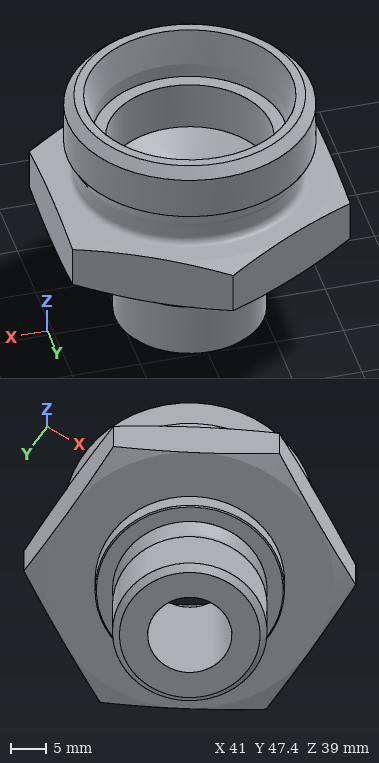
import cadquery as cq
import math

total_height = 39.0
hex_bottom = 17.0
hex_top = 25.0
collar_bottom = 14.0
lower_thread_top = 9.3
upper_thread_bottom = 31.0

hex_corner_width = 47.35
hex_half_sector = 30
hex_flat_width = hex_corner_width * math.cos(math.radians(hex_half_sector))
upper_thread_diameter = 36
upper_neck_diameter = 33.0
collar_diameter = 27
lower_thread_diameter = 22.0
lower_chamfer = 1.0
collar_chamfer = 0.2
neck_radius = 1.2
neck_angle = 30
hex_chamfer_angle = 15

seat_mouth_diameter = 30.25
seat_diameter = 28.0
seat_cone_depth = 5.3
seat_depth = 7.5
counterbore_diameter = 24.0
counterbore_depth = 15.0
through_diameter = 12.0
drill_point_angle = 118

neck_slope = math.tan(math.radians(neck_angle))


def revolve_profile(points):
    """Revolve a closed (radius, height) outline about the Z axis."""
    return cq.Workplane("XZ").polyline(points).close().revolve(360, (0, 0), (0, 1))


def round_edge(body, height, radius):
    """Round the circular edge whose centre lies on the axis at this height."""
    margin = 0.025
    box = cq.selectors.BoxSelector((-margin, -margin, height - margin), (margin, margin, height + margin))
    return body.edges(box).fillet(radius)


def lower_spigot():
    """Lower thread, V-shaped neck and sealing collar."""
    thread_radius = lower_thread_diameter / 2
    collar_radius = collar_diameter / 2
    neck_height = (lower_thread_top + collar_bottom) / 2
    neck_vertex_radius = thread_radius - (collar_bottom - neck_height) * neck_slope
    body = revolve_profile([
        (0, 0),
        (thread_radius - lower_chamfer, 0),
        (thread_radius, lower_chamfer),
        (thread_radius, lower_thread_top),
        (neck_vertex_radius, neck_height),
        (thread_radius, collar_bottom),
        (collar_radius - collar_chamfer, collar_bottom),
        (collar_radius, collar_bottom + collar_chamfer),
        (collar_radius, hex_bottom),
        (0, hex_bottom),
    ])
    return round_edge(body, neck_height, neck_radius)


def hexagon():
    """Hexagon with corners on the Y axis, chamfered conically at both ends."""
    prism = (
        cq.Workplane("XY", origin=(0, 0, hex_bottom))
        .polygon(6, hex_corner_width)
        .extrude(hex_top - hex_bottom)
        .rotate((0, 0, 0), (0, 0, 1), hex_half_sector)
    )
    flat_radius = hex_flat_width / 2
    corner_clearance = 0.45
    outer_radius = hex_corner_width / 2 + corner_clearance
    drop = (outer_radius - flat_radius) * math.tan(math.radians(hex_chamfer_angle))
    envelope = revolve_profile([
        (0, hex_bottom),
        (flat_radius, hex_bottom),
        (outer_radius, hex_bottom + drop),
        (outer_radius, hex_top - drop),
        (flat_radius, hex_top),
        (0, hex_top),
    ])
    return prism.intersect(envelope)


def upper_spigot():
    """Upper thread above a cylindrical neck."""
    thread_radius = upper_thread_diameter / 2
    neck_wall = upper_neck_diameter / 2
    step = thread_radius - neck_wall
    neck_top = upper_thread_bottom - step / neck_slope
    body = revolve_profile([
        (0, hex_top),
        (neck_wall, hex_top),
        (neck_wall, neck_top),
        (thread_radius, upper_thread_bottom),
        (thread_radius, total_height - step),
        (neck_wall, total_height),
        (0, total_height),
    ])
    return round_edge(body, neck_top, neck_radius)


def neck_root():
    """Concave ring blending the upper neck into the hexagon."""
    neck_wall = upper_neck_diameter / 2
    arc_offset = neck_radius * (1 - math.sqrt(0.5))
    return (
        cq.Workplane("XZ")
        .moveTo(neck_wall, hex_top + neck_radius)
        .threePointArc(
            (neck_wall + arc_offset, hex_top + arc_offset),
            (neck_wall + neck_radius, hex_top),
        )
        .lineTo(0, hex_top)
        .lineTo(0, hex_top + neck_radius)
        .close()
        .revolve(360, (0, 0), (0, 1))
    )


def bore():
    """Tapered seat, counterbore with a drill-point floor, and through hole."""
    seat_radius = seat_diameter / 2
    counterbore_radius = counterbore_diameter / 2
    through_radius = through_diameter / 2
    point_drop = (counterbore_radius - through_radius) / math.tan(math.radians(drill_point_angle / 2))
    counterbore_floor = total_height - counterbore_depth
    return revolve_profile([
        (0, 0),
        (through_radius, 0),
        (through_radius, counterbore_floor - point_drop),
        (counterbore_radius, counterbore_floor),
        (counterbore_radius, total_height - seat_depth),
        (seat_radius, total_height - seat_depth),
        (seat_radius, total_height - seat_cone_depth),
        (seat_mouth_diameter / 2, total_height),
        (0, total_height),
    ])


result = lower_spigot().union(hexagon()).union(upper_spigot()).union(neck_root()).cut(bore())